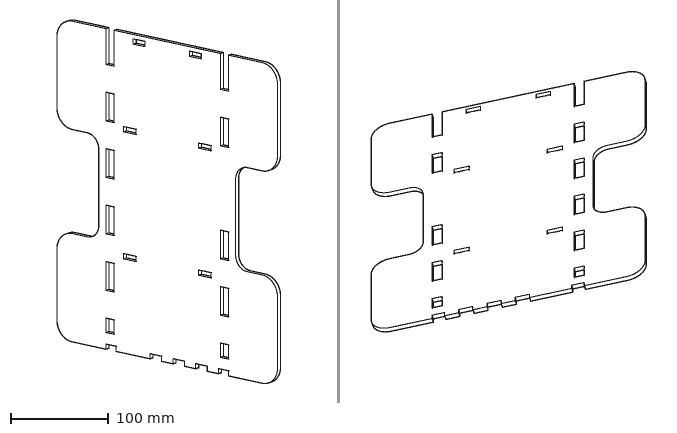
import cadquery as cq

height = 340.0
width = 290.0
thickness = 5.0

waist_width = 180.0
recess_height = 110.0
outer_radius = 20.0
recess_radius = 15.0

column_offset = 75.0
slot_width = 10.5
open_slot_depth = 38.0
slot_height = 30.3
slot_pitch = 60.0
slot_rows = 4
missing_right_row = 1
short_slot_height = slot_height / 2

tab_slot_height = 5.5
top_tab_slot_width = 15.3
top_tab_offset = 37.0
top_tab_depth = 7.5
inner_tab_slot_width = 16.3
inner_tab_offset = 49.3
inner_tab_level = 67.3

finger_width = 15.0
finger_depth = 5.5
notch_positions = (-1, 1, 3)
end_notch_start = 4.5 * finger_width
end_notch_stop = column_offset + slot_width / 2

top = height / 2
bottom = -height / 2


def block(x_min, x_max, z_min, z_max):
    """Rectangular block through the full panel thickness."""
    return cq.Workplane("XY").box(x_max - x_min, thickness, z_max - z_min).translate(
        ((x_min + x_max) / 2, 0, (z_min + z_max) / 2)
    )


def centred_block(x, z, size_x, size_z):
    """Block given by its centre and its size."""
    return block(x - size_x / 2, x + size_x / 2, z - size_z / 2, z + size_z / 2)


def round_corner(panel, x, z, radius):
    """Fillet the one through-thickness edge at the given corner."""
    corner = cq.selectors.NearestToPointSelector((x, 0, z))
    return panel.edges("|Y").edges(corner).fillet(radius)


def make_blank():
    """Panel outline: four rounded lobes joined by a narrower waist."""
    side = width / 2
    waist = waist_width / 2
    recess = recess_height / 2
    blank = block(-side, side, bottom, top)
    blank = blank.cut(block(waist, side, -recess, recess))
    blank = blank.cut(block(-side, -waist, -recess, recess))

    for x in (-waist, waist):
        for z in (-recess, recess):
            blank = round_corner(blank, x, z, recess_radius)
    for x in (-side, side):
        for z in (bottom, -recess, recess, top):
            blank = round_corner(blank, x, z, outer_radius)
    return blank


def cut_slot_columns(panel):
    """Open slot, evenly spaced closed slots and a short bottom slot on each side."""
    open_slot_end = top - open_slot_depth
    first_slot_top = open_slot_end - (slot_pitch - slot_height)
    for side in (-1, 1):
        x_min = side * column_offset - slot_width / 2
        x_max = x_min + slot_width
        panel = panel.cut(block(x_min, x_max, open_slot_end, top))
        for row in range(slot_rows):
            if side == 1 and row == missing_right_row:
                continue
            slot_top = first_slot_top - row * slot_pitch
            panel = panel.cut(block(x_min, x_max, slot_top - slot_height, slot_top))
        short_top = first_slot_top - slot_rows * slot_pitch
        panel = panel.cut(block(x_min, x_max, short_top - short_slot_height, short_top))
    return panel


def cut_tab_slots(panel):
    """Pairs of small slots: one near the top edge, two mirrored about mid-height."""
    for side in (-1, 1):
        panel = panel.cut(
            centred_block(side * top_tab_offset, top - top_tab_depth, top_tab_slot_width, tab_slot_height)
        )
        for z in (-inner_tab_level, inner_tab_level):
            panel = panel.cut(
                centred_block(side * inner_tab_offset, z, inner_tab_slot_width, tab_slot_height)
            )
    return panel


def cut_finger_notches(panel):
    """Notches in the bottom edge; the end ones stop flush with the slot columns."""
    notch_top = bottom + finger_depth
    for position in notch_positions:
        centre = position * finger_width
        panel = panel.cut(block(centre - finger_width / 2, centre + finger_width / 2, bottom, notch_top))
    panel = panel.cut(block(end_notch_start, end_notch_stop, bottom, notch_top))
    return panel.cut(block(-end_notch_stop, -end_notch_start, bottom, notch_top))


result = cut_finger_notches(cut_tab_slots(cut_slot_columns(make_blank())))